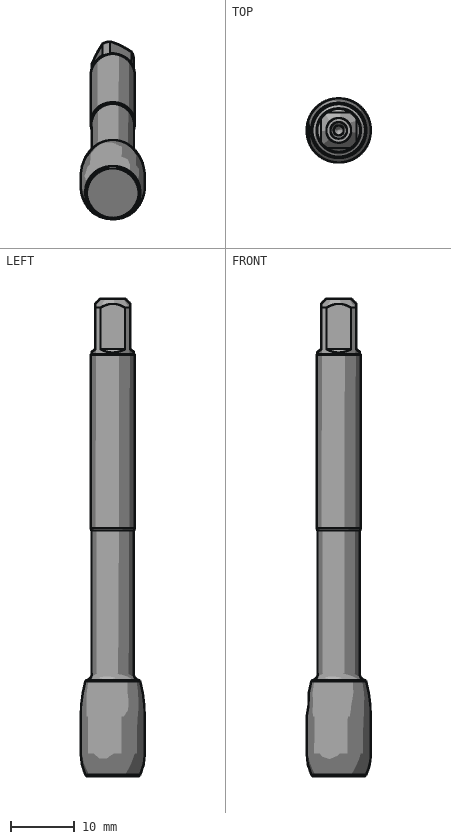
import cadquery as cq
import math

total_length = 75

head_radius = 10.1 / 2
head_top = 15.1
head_top_radius = 4.1
rim_radius = 4.35
rim_height = 0.2
barrel_top = 9.4
barrel_bottom = 3.5
nose_radius = 4.35
nose_chamfer = 0.3

neck_radius = 6.7 / 2
neck_blend_height = 1.05
shank_radius = 7.0 / 2
shank_bottom = 38.55
shank_bottom_chamfer_length = 0.45
shoulder_z = 66.15
shoulder_height = 0.15

drive_radius = 6.75 / 2
drive_width = 5.55
drive_length = 7.95
ramp_angle = 50
tip_radius = 3.9 / 2

hole_radius = 1.6 / 2
hole_depth = 1.5
countersink_radius = 2.6 / 2
countersink_half_angle = 30


def arc_middle(tangent_z, end_radius, end_z):
    """Middle point (r, z) of an arc leaving the head cylinder tangentially at tangent_z."""
    inset = head_radius - end_radius
    rise = end_z - tangent_z
    arc_radius = (inset**2 + rise**2) / (2 * inset)
    half_angle = math.asin(rise / arc_radius) / 2
    radius = head_radius - arc_radius * (1 - math.cos(half_angle))
    return radius, tangent_z + arc_radius * math.sin(half_angle)


def revolve_about_z(profile):
    """Revolve a closed radius-height profile around the tool axis."""
    return profile.close().revolve(360, (0, 0, 0), (0, 1, 0))


def make_head():
    """Barrel-shaped head whose ends curve inwards from a cylindrical middle."""
    rim_z = head_top - rim_height
    profile = (
        cq.Workplane("XZ")
        .lineTo(nose_radius - nose_chamfer, 0)
        .lineTo(nose_radius, nose_chamfer)
        .threePointArc(arc_middle(barrel_bottom, nose_radius, nose_chamfer), (head_radius, barrel_bottom))
        .lineTo(head_radius, barrel_top)
        .threePointArc(arc_middle(barrel_top, rim_radius, rim_z), (rim_radius, rim_z))
        .lineTo(head_top_radius, head_top)
        .lineTo(0, head_top)
    )
    return revolve_about_z(profile)


def make_shank_blank():
    """Turned shank: flared foot, neck, main diameter and a tapered drive end."""
    blend_width = head_top_radius - neck_radius
    blend_top = head_top + neck_blend_height
    blend_middle = (
        head_top_radius - blend_width * math.sin(math.pi / 4),
        head_top + neck_blend_height * (1 - math.sin(math.pi / 4)),
    )
    profile = (
        cq.Workplane("XZ")
        .moveTo(0, head_top)
        .lineTo(head_top_radius, head_top)
        .threePointArc(blend_middle, (neck_radius, blend_top))
        .lineTo(neck_radius, shank_bottom)
        .lineTo(shank_radius, shank_bottom + shank_bottom_chamfer_length)
        .lineTo(shank_radius, shoulder_z)
        .lineTo(drive_radius, shoulder_z + shoulder_height)
        .lineTo(drive_radius, total_length - (drive_radius - tip_radius))
        .lineTo(tip_radius, total_length)
        .lineTo(0, total_length)
    )
    return revolve_about_z(profile)


def make_square_cutter():
    """Material around the square drive, with a sloping run-out at the foot of each flat."""
    flat_bottom = total_length - drive_length
    ramp_height = drive_width / 4
    stock_width = drive_width + 2 * ramp_height * math.tan(math.radians(ramp_angle))
    base = cq.Workplane("XY", origin=(0, 0, flat_bottom - ramp_height))
    foot = cq.Workplane("XY", origin=(0, 0, flat_bottom))
    stock = base.rect(stock_width, stock_width).extrude(ramp_height + drive_length)
    ramps = base.rect(stock_width, stock_width).extrude(ramp_height, taper=ramp_angle)
    square = foot.rect(drive_width, drive_width).extrude(drive_length)
    return stock.cut(square).cut(ramps)


def make_centre_hole():
    """Countersunk centre hole with a conical bottom."""
    countersink_depth = (countersink_radius - hole_radius) / math.tan(math.radians(countersink_half_angle))
    countersink_bottom = total_length - countersink_depth
    profile = (
        cq.Workplane("XZ")
        .moveTo(0, total_length)
        .lineTo(countersink_radius, total_length)
        .lineTo(hole_radius, countersink_bottom)
        .lineTo(hole_radius, total_length - hole_depth)
        .lineTo(0, total_length - hole_depth - hole_radius)
    )
    return revolve_about_z(profile)


head = make_head()
shank = make_shank_blank().cut(make_square_cutter()).cut(make_centre_hole())

result = cq.Compound.makeCompound([head.val(), shank.val()])